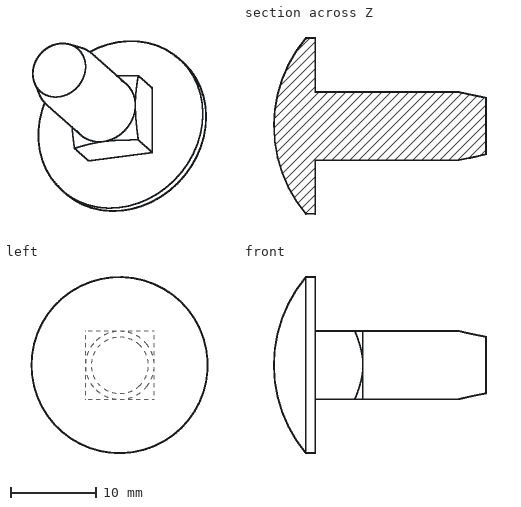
import cadquery as cq
import math

total_length = 24.88
head_diameter = 20.65
dome_height = 3.75
rim_thickness = 1.12
shank_diameter = 8.0
neck_end = 10.45
neck_end_angle = 30.0
tip_length = 3.2
tip_diameter = 6.65

head_radius = head_diameter / 2
shank_radius = shank_diameter / 2
tip_radius = tip_diameter / 2
head_back = dome_height + rim_thickness
tip_start = total_length - tip_length


def make_head_and_shank():
    """Revolve the domed head, round shank and tapered tip about X."""
    dome_radius = (head_radius**2 + dome_height**2) / (2 * dome_height)
    half_angle = math.asin(head_radius / dome_radius) / 2
    dome_middle = (
        dome_radius * (1 - math.cos(half_angle)),
        dome_radius * math.sin(half_angle),
    )
    return (
        cq.Workplane("XY")
        .moveTo(0, 0)
        .threePointArc(dome_middle, (dome_height, head_radius))
        .lineTo(head_back, head_radius)
        .lineTo(head_back, shank_radius)
        .lineTo(tip_start, shank_radius)
        .lineTo(total_length, tip_radius)
        .lineTo(total_length, 0)
        .close()
        .revolve(360, (0, 0, 0), (1, 0, 0))
    )


def make_square_neck():
    """Square prism as wide as the shank, its far corners trimmed by a cone."""
    square = (
        cq.Workplane("YZ")
        .workplane(offset=dome_height)
        .rect(shank_diameter, shank_diameter)
        .extrude(neck_end - dome_height)
    )
    cone_end_radius = shank_diameter
    cone_drop = (cone_end_radius - shank_radius) * math.tan(math.radians(neck_end_angle))
    trimmer = (
        cq.Workplane("XY")
        .moveTo(dome_height, 0)
        .lineTo(dome_height, cone_end_radius)
        .lineTo(neck_end - cone_drop, cone_end_radius)
        .lineTo(neck_end, shank_radius)
        .lineTo(neck_end, 0)
        .close()
        .revolve(360, (0, 0, 0), (1, 0, 0))
    )
    return square.intersect(trimmer)


result = make_head_and_shank().union(make_square_neck())